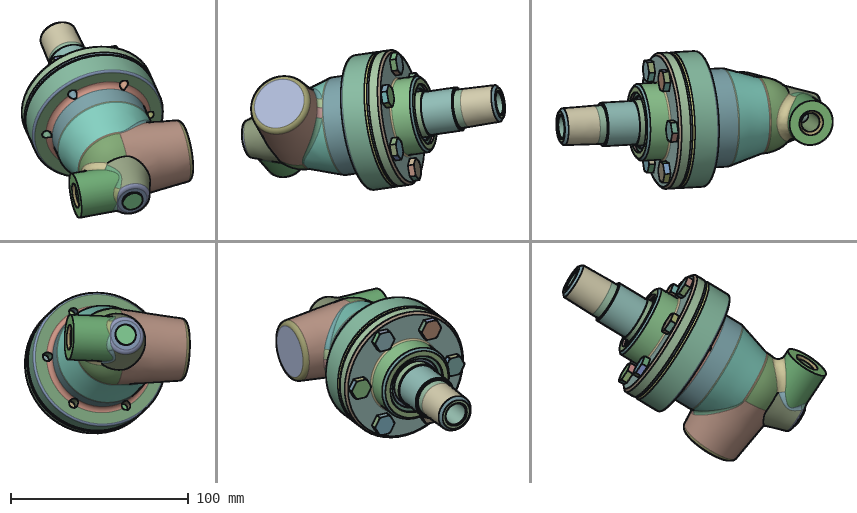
import math
import cadquery as cq


THREAD_TIP_D = 17.48
THREAD_START_D = 21.0
THREAD_END_D = 21.85
SHAFT_D = 24.7
SHAFT_COLLAR_D = 26.16
TIP_CHAMFER = 1.6
THREAD_END_X = 19.9
SHOULDER_X = 24.2
SHOULDER_CHAMFER = 0.4
COLLAR_X = 42.8
SHAFT_BORE_D = 12.7
SHAFT_BORE_MOUTH_D = 14.0

HUB_X = 44.9
HUB_D = 43.43
HUB_CHAMFER = 1.4
HUB_FILLET = 0.9
RECESS_D = 34.19
RECESS_DEPTH = 1.5
SEAL_D = 29.8
SEAL_DEPTH = 2.5

FLANGE_D = 76.71
FLANGE_X = 58.2
FLANGE_JOINT_X = 66.2
FLANGE_REAR_X = 81.9
FLANGE_CHAMFER = 1.4
JOINT_CHAMFER_LENGTH = 1.3
JOINT_CHAMFER_DEPTH = 0.5
FLANGE_REAR_ROUND = 1.2

BOLT_COUNT = 6
BOLT_CIRCLE_R = 30.2
HEX_SIDES = 6
BOLT_FLATS = 11.11
BOLT_HEAD_HEIGHT = 3.6
BOLT_CORNER_CUT = 0.4
BOLT_CORNER_CUT_HEIGHT = 0.25
BOLT_HOLE_D = 4.98
BOLT_HOLE_START_X = 74.0
BOLT_HOLE_END_X = 84.1

NECK_D = 55.63
NECK_FILLET = 2.9
CONE_START_X = 96.4
CONE_START_ROUND = 2.5
BALL_X = 117.3
BALL_R = 21.6
CONE_END_X = 116.5
END_X = 151.1
END_SHARP_R = 10.25
END_CONE_ANGLE = math.radians(17)
END_ROUND = 2.4
PAD_D = 11.7
OVERALL_LENGTH = 152.19
PAD_HEIGHT = OVERALL_LENGTH - END_X

MAIN_PORT_TIP_D = 34.8
OVERALL_WIDTH = 79.5
MAIN_PORT_Y = OVERALL_WIDTH - FLANGE_D / 2
MAIN_PORT_ANGLE = math.radians(6)
MAIN_PORT_ROUND = 2.8
MAIN_PORT_FILLET = 2.3

SIDE_PORT_D = 25.4
SIDE_PORT_END_GAP = 0.05
SIDE_PORT_X = END_X - SIDE_PORT_END_GAP - SIDE_PORT_D / 2
SIDE_PORT_Y = -29.6
SIDE_PORT_FILLET = 4.5
SIDE_BORE_D = 10.72
SIDE_BORE_MOUTH_D = 14.0
TUBE_D = 12.7


def cylinder_x(diameter, start_x, length):
    return cq.Workplane("YZ", origin=(start_x, 0, 0)).circle(diameter / 2).extrude(length)


def revolve_x(outline):
    return outline.close().revolve(360, (0, 0, 0), (1, 0, 0))


def make_shaft():
    outline = (
        cq.Workplane("XY")
        .lineTo(0, THREAD_TIP_D / 2)
        .lineTo(TIP_CHAMFER, THREAD_START_D / 2)
        .lineTo(THREAD_END_X, THREAD_END_D / 2)
        .lineTo(SHOULDER_X, THREAD_END_D / 2)
        .lineTo(SHOULDER_X, SHAFT_D / 2 - SHOULDER_CHAMFER)
        .lineTo(SHOULDER_X + SHOULDER_CHAMFER, SHAFT_D / 2)
        .lineTo(COLLAR_X, SHAFT_D / 2)
        .lineTo(COLLAR_X, SHAFT_COLLAR_D / 2)
        .lineTo(FLANGE_X, SHAFT_COLLAR_D / 2)
        .lineTo(FLANGE_X, 0)
    )
    return revolve_x(outline)


def make_front_flange():
    hub_r = HUB_D / 2
    flange_r = FLANGE_D / 2
    outline = (
        cq.Workplane("XY")
        .moveTo(HUB_X, 0)
        .lineTo(HUB_X, hub_r - HUB_CHAMFER)
        .lineTo(HUB_X + HUB_CHAMFER, hub_r)
        .lineTo(FLANGE_X - HUB_FILLET, hub_r)
        .radiusArc((FLANGE_X, hub_r + HUB_FILLET), -HUB_FILLET)
        .lineTo(FLANGE_X, flange_r - FLANGE_CHAMFER)
        .lineTo(FLANGE_X + FLANGE_CHAMFER, flange_r)
        .lineTo(FLANGE_JOINT_X - JOINT_CHAMFER_LENGTH, flange_r)
        .lineTo(FLANGE_JOINT_X, flange_r - JOINT_CHAMFER_DEPTH)
        .lineTo(FLANGE_JOINT_X, 0)
    )
    recess = cylinder_x(RECESS_D, HUB_X, RECESS_DEPTH)
    seal_gap = cylinder_x(SEAL_D, HUB_X, SEAL_DEPTH)
    return revolve_x(outline).cut(recess).cut(seal_gap)


def make_housing():
    flange_r = FLANGE_D / 2
    neck_r = NECK_D / 2
    slope = math.tan(END_CONE_ANGLE)
    cone_r0 = END_SHARP_R + slope * (END_X - BALL_X)
    secant_sq = 1 + slope**2
    meet_u = (slope * cone_r0 + math.sqrt(secant_sq * BALL_R**2 - cone_r0**2)) / secant_sq
    meet_r = cone_r0 - slope * meet_u
    mid_angle = (math.atan2(meet_r, meet_u) + math.pi / 2) / 2
    ball_mid = (BALL_X + BALL_R * math.cos(mid_angle), BALL_R * math.sin(mid_angle))
    outline = (
        cq.Workplane("XY")
        .moveTo(FLANGE_JOINT_X, 0)
        .lineTo(FLANGE_JOINT_X, flange_r - JOINT_CHAMFER_DEPTH)
        .lineTo(FLANGE_JOINT_X + JOINT_CHAMFER_LENGTH, flange_r)
        .lineTo(FLANGE_REAR_X - FLANGE_REAR_ROUND, flange_r)
        .radiusArc((FLANGE_REAR_X, flange_r - FLANGE_REAR_ROUND), FLANGE_REAR_ROUND)
        .lineTo(FLANGE_REAR_X, neck_r + NECK_FILLET)
        .radiusArc((FLANGE_REAR_X + NECK_FILLET, neck_r), -NECK_FILLET)
        .lineTo(CONE_START_X, neck_r)
        .lineTo(CONE_END_X, BALL_R)
        .lineTo(BALL_X, BALL_R)
        .threePointArc(ball_mid, (BALL_X + meet_u, meet_r))
        .lineTo(END_X, END_SHARP_R)
        .lineTo(END_X, 0)
    )
    housing_body = revolve_x(outline)
    neck_end = cq.selectors.BoxSelector(
        (CONE_START_X - CONE_START_ROUND, -flange_r, -flange_r),
        (CONE_START_X + CONE_START_ROUND, flange_r, flange_r),
        boundingbox=True,
    )
    return housing_body.edges(neck_end).fillet(CONE_START_ROUND)


def make_main_port():
    tangent_r = BALL_R * math.cos(MAIN_PORT_ANGLE)
    tangent_y = BALL_R * math.sin(MAIN_PORT_ANGLE)
    return (
        cq.Workplane("XY", origin=(BALL_X, 0, 0))
        .moveTo(0, tangent_y)
        .lineTo(tangent_r, tangent_y)
        .lineTo(MAIN_PORT_TIP_D / 2, MAIN_PORT_Y)
        .lineTo(0, MAIN_PORT_Y)
        .close()
        .revolve(360, (0, 0, 0), (0, 1, 0))
        .faces(">Y")
        .edges()
        .fillet(MAIN_PORT_ROUND)
    )


def side_cylinder(diameter, depth):
    plane = cq.Plane(origin=(SIDE_PORT_X, SIDE_PORT_Y, 0), xDir=(1, 0, 0), normal=(0, 1, 0))
    return cq.Workplane(plane).circle(diameter / 2).extrude(depth)


def add_main_port(body):
    joined = body.union(make_main_port())
    seam_box = cq.selectors.BoxSelector(
        (CONE_START_X, 0, -BALL_R), (BALL_X, NECK_D / 2, BALL_R), boundingbox=True
    )
    return joined.edges("%BSPLINE").edges(seam_box).fillet(MAIN_PORT_FILLET)


def add_side_port(body):
    rounded = body.faces(">X").edges().fillet(END_ROUND)
    joined = rounded.union(side_cylinder(SIDE_PORT_D, -SIDE_PORT_Y))
    seam_box = cq.selectors.BoxSelector(
        (BALL_X, SIDE_PORT_Y, -SIDE_PORT_D), (END_X, 0, SIDE_PORT_D), boundingbox=True
    )
    return joined.edges("%BSPLINE").edges(seam_box).fillet(SIDE_PORT_FILLET)


def side_bore():
    chamfer = (SIDE_BORE_MOUTH_D - SIDE_BORE_D) / 2
    bore = side_cylinder(SIDE_BORE_D, -SIDE_PORT_Y)
    tube = cylinder_x(TUBE_D, SIDE_PORT_X - SIDE_BORE_D, 2 * SIDE_BORE_D)
    mouth_centre = cq.Vector(SIDE_PORT_X, SIDE_PORT_Y, 0)
    mouth = cq.Solid.makeCone(
        SIDE_BORE_MOUTH_D / 2, SIDE_BORE_D / 2, chamfer, mouth_centre, cq.Vector(0, 1, 0)
    )
    return bore.cut(tube).union(cq.Workplane(mouth))


def shaft_bore():
    chamfer = (SHAFT_BORE_MOUTH_D - SHAFT_BORE_D) / 2
    mouth = cq.Solid.makeCone(
        SHAFT_BORE_MOUTH_D / 2, SHAFT_BORE_D / 2, chamfer, cq.Vector(0, 0, 0), cq.Vector(1, 0, 0)
    )
    return cylinder_x(SHAFT_BORE_D, 0, FLANGE_X).union(cq.Workplane(mouth))


def bolt_pattern(start_x):
    plane = cq.Workplane("YZ", origin=(start_x, 0, 0))
    return plane.polarArray(BOLT_CIRCLE_R, 0, 360, BOLT_COUNT, rotate=False)


def bolt_heads():
    corner_d = BOLT_FLATS / math.cos(math.pi / HEX_SIDES)
    start_x = FLANGE_X - BOLT_HEAD_HEIGHT
    hexagons = bolt_pattern(start_x).polygon(HEX_SIDES, corner_d).extrude(BOLT_HEAD_HEIGHT)
    trims = bolt_pattern(start_x).circle(corner_d / 2).extrude(BOLT_HEAD_HEIGHT)
    trims = trims.faces("<X").edges().chamfer(BOLT_CORNER_CUT_HEIGHT, BOLT_CORNER_CUT)
    return hexagons.intersect(trims)


def bolt_holes():
    depth = BOLT_HOLE_END_X - BOLT_HOLE_START_X
    return bolt_pattern(BOLT_HOLE_START_X).circle(BOLT_HOLE_D / 2).extrude(depth)


housing = add_side_port(add_main_port(make_housing()))
housing = housing.cut(bolt_holes()).union(cylinder_x(PAD_D, END_X, PAD_HEIGHT))
result = (
    housing.union(make_front_flange())
    .union(make_shaft())
    .union(bolt_heads())
    .cut(shaft_bore())
    .cut(side_bore())
)